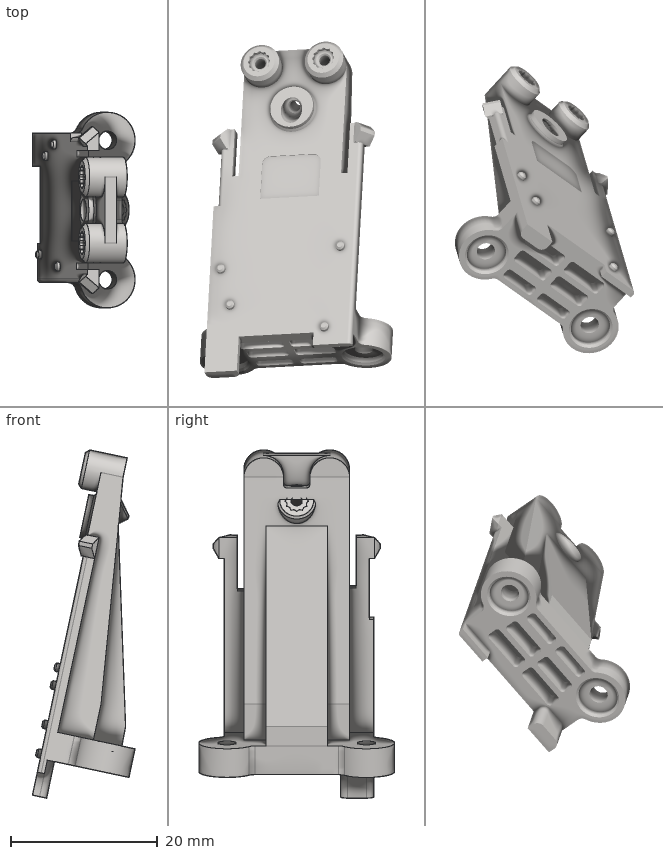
import cadquery as cq
import math

TILT = 12.0
PIVOT = (2.0, 0.0, 19.14)

PLATE_T = 1.6
PLATE_HALF_W = 9.9
EDGE_FILLET = 0.55
TAB_Y = 10.5
TAB_TOP = 19.75
NOTCH_LOW_Y = -4.55
NOTCH_HIGH_Y = 5.95
SHORT_FOOT_T = 1.0
SHORT_FOOT_BOTTOM = -1.88
LONG_FOOT_T = 2.0
LONG_FOOT_BOTTOM = -5.1
LONG_FOOT_FILLET = 1.0

BODY_HALF_W = 7.2
SLIT_W = 0.9
ARM_INNER_Y = BODY_HALF_W + SLIT_W
LOW_Y_SLIT_BOTTOM = 23.7
HIGH_Y_SLIT_BOTTOM = 24.1

HOOK_BOTTOM = 28.2
HOOK_TOP = 31.15
HOOK_TIP_BOTTOM = 29.5
HOOK_TIP_TOP = 30.1
HOOK_CORNER_Y = 10.6
HOOK_ANGLE = 40.0
HOOK_LENGTH = 2.45
HOOK_REACH = 1.05
HOOK_ROOT_DEPTH = 0.5

LUG_Y = 4.5
LUG_R = BODY_HALF_W - LUG_Y
LUG_Z = 39.87
LUG_FRONT = -2.65
LUG_BACK = 3.1
LUG_CHAMFER = 0.5
TOP_Z = LUG_Z + LUG_R
GAP_HALF_W = LUG_Y - LUG_R
GAP_FLOOR = 38.4
GAP_FILLET = 0.5

BASE_H = 4.0
SIDE_KNEE = (6.57, 9.0)
RIDGE_HALF_W = 4.2
RIDGE_TOP = (3.85, 33.2)
RIDGE_KNEE = (10.5, 6.7)
BASE_BACK = 10.55

EAR_X = 8.55
EAR_Y = 9.5
EAR_R = 3.84
EAR_HOLE_D = 2.5
EAR_BORE_R = 2.7
EAR_BORE_DEPTH = 1.0
EAR_BORE_CHAMFER = 0.3
EAR_BLEND_R = 1.0

SLOTS = [(2.2, 4.2, 6.65), (5.0, 7.0, 6.15), (8.3, 9.8, 5.65)]
SLOT_WEB_HALF = 0.5
SLOT_FILLET = 0.5
SLOT_DEPTH = 3.0

PAD_Z = 33.6
PAD_T = 1.0
PAD_R = 3.0
PAD_FOOT_R = 3.3
PAD_FOOT_T = 0.3
PASSAGE_Z = 33.1
PASSAGE_ANGLE = 38.0
PASSAGE_D = 3.0
BOSS_R = 2.6
BOSS_ROOT = 2.5
BOSS_END = 5.8
BOSS_CHAMFER = 0.3

INSERT_L = 3.8
INSERT_TIP_R = 1.58
INSERT_ROOT_R = 1.38
INSERT_TEETH = 12
INSERT_BORE_D = 1.5
INSERT_CHAMFER = 0.2
INSERT_RECESS = 0.6

STUDS = [(-7.71, 12.64), (8.95, 10.17), (7.36, 4.69), (-6.07, 0.67)]
STUD_R = 0.6
STUD_H = 0.7
STUD_CHAMFER = 0.25

RECESS_Y = (-4.24, 3.98)
RECESS_Z = (20.5, 26.8)
RECESS_CORNER_R = 1.1
RECESS_DEPTH = 0.1


def block(x, y, z):
    """Box between pairs of limits."""
    size = (x[1] - x[0], y[1] - y[0], z[1] - z[0])
    return cq.Workplane("XY").box(*size, centered=False).translate((x[0], y[0], z[0]))


def side_prism(points, half_width):
    """Side profile of (depth, height) points, extruded evenly to both sides."""
    return cq.Workplane("XZ").polyline(points).close().extrude(half_width, both=True)


def rod(x_start, x_end, radius, y, z):
    """Cylinder running straight back through the plate."""
    return cq.Workplane("YZ", origin=(x_start, 0, 0)).center(y, z).circle(radius).extrude(x_end - x_start)


def plate():
    """Plate with its two feet, side tab, clip-arm slits and the strip joining the lugs."""
    lower = block((0, PLATE_T), (-PLATE_HALF_W, PLATE_HALF_W), (0, HOOK_BOTTOM))
    short_foot = block((0, SHORT_FOOT_T), (-PLATE_HALF_W, NOTCH_LOW_Y), (SHORT_FOOT_BOTTOM, 0))
    wide = lower.union(short_foot).edges("|Z and <X").edges("<Y or >Y").fillet(EDGE_FILLET)
    upper = block((0, PLATE_T), (-BODY_HALF_W, BODY_HALF_W), (0, LUG_Z))
    bridge = block((0, PLATE_T), (-LUG_Y, LUG_Y), (0, TOP_Z))
    tab = block((0, PLATE_T), (NOTCH_HIGH_Y, TAB_Y), (0, TAB_TOP))
    long_foot = block((0, LONG_FOOT_T), (NOTCH_HIGH_Y, TAB_Y), (LONG_FOOT_BOTTOM, 0))
    long_foot = long_foot.edges("|Z and >X").fillet(LONG_FOOT_FILLET)
    low_slit = block((0, PLATE_T), (-ARM_INNER_Y, -BODY_HALF_W), (LOW_Y_SLIT_BOTTOM, HOOK_TOP))
    high_slit = block((0, PLATE_T), (BODY_HALF_W, ARM_INNER_Y), (HIGH_Y_SLIT_BOTTOM, HOOK_TOP))
    whole = wide.union(upper).union(bridge).union(tab).union(long_foot)
    return whole.cut(low_slit).cut(high_slit)


def hook():
    """Arm end and outward barb on the -Y side."""
    angle = math.radians(HOOK_ANGLE)
    toward_front = (-math.cos(angle), math.sin(angle), 0)
    outward = (-math.sin(angle), -math.cos(angle), 0)
    root_at_face_y = -HOOK_CORNER_Y + PLATE_T * math.tan(angle)
    arm_outline = [
        (0, -ARM_INNER_Y),
        (PLATE_T, -ARM_INNER_Y),
        (PLATE_T, -HOOK_CORNER_Y),
        (0, root_at_face_y),
    ]
    arm_end = (
        cq.Workplane("XY", origin=(0, 0, HOOK_BOTTOM))
        .polyline(arm_outline)
        .close()
        .extrude(HOOK_TOP - HOOK_BOTTOM)
    )
    barb_profile = [
        (-HOOK_ROOT_DEPTH, HOOK_BOTTOM),
        (0, HOOK_BOTTOM),
        (HOOK_REACH, HOOK_TIP_BOTTOM),
        (HOOK_REACH, HOOK_TIP_TOP),
        (0, HOOK_TOP),
        (-HOOK_ROOT_DEPTH, HOOK_TOP),
    ]
    barb_plane = cq.Plane(origin=(PLATE_T, -HOOK_CORNER_Y, 0), xDir=outward, normal=toward_front)
    barb = cq.Workplane(barb_plane).polyline(barb_profile).close().extrude(HOOK_LENGTH)
    behind_plate = block((PLATE_T, 2 * PLATE_T), (-2 * TAB_Y, 0), (0, TOP_Z))
    return arm_end.union(barb).cut(behind_plate)


def lug(y):
    return rod(LUG_FRONT, LUG_BACK, LUG_R, y, LUG_Z).faces("<X").chamfer(LUG_CHAMFER)


def wedge():
    """Tapered body with a narrower, steeper ridge down its back and a gap between the lugs."""
    side = side_prism(
        [(0, 0), (SIDE_KNEE[0], 0), SIDE_KNEE, (LUG_BACK, LUG_Z), (0, LUG_Z)],
        BODY_HALF_W,
    )
    ridge = side_prism(
        [(0, 0), (BASE_BACK, 0), (BASE_BACK, BASE_H), RIDGE_KNEE, RIDGE_TOP, (0, RIDGE_TOP[1])],
        RIDGE_HALF_W,
    )
    gap = block((PLATE_T, 2 * LUG_BACK), (-GAP_HALF_W, GAP_HALF_W), (GAP_FLOOR, 2 * TOP_Z))
    gap = gap.edges("|X and <Z").fillet(GAP_FILLET)
    return side.cut(gap).union(ridge)


def ear_hole():
    """Screw hole with a shallow chamfered bore on the underside."""
    center = cq.Workplane("XY").center(EAR_X, EAR_Y)
    hole = center.circle(EAR_HOLE_D / 2).extrude(BASE_H)
    bore = center.circle(EAR_BORE_R).extrude(EAR_BORE_DEPTH)
    mouth = center.circle(EAR_BORE_R + EAR_BORE_CHAMFER)
    mouth = mouth.workplane(offset=EAR_BORE_CHAMFER).circle(EAR_BORE_R).loft()
    return hole.union(bore).union(mouth)


def base_half(front_y):
    """Half of the base on the +Y side with its screw ear; front_y is the outer edge at the plate.

    The outline starts just behind the plate's rounded front edge.
    """
    reach = EAR_R + EAR_BLEND_R

    def meet(center):
        """Point where a blend arc centred there touches the ear."""
        return tuple(e + (c - e) * EAR_R / reach for c, e in zip(center, (EAR_X, EAR_Y)))

    def middle(center, start, end):
        """Middle of the short blend arc."""
        mx = (start[0] + end[0]) / 2 - center[0]
        my = (start[1] + end[1]) / 2 - center[1]
        scale = EAR_BLEND_R / math.hypot(mx, my)
        return (center[0] + mx * scale, center[1] + my * scale)

    front_center_y = front_y + EAR_BLEND_R
    front_center = (EAR_X - math.sqrt(reach**2 - (front_center_y - EAR_Y) ** 2), front_center_y)
    front_start = (front_center[0], front_y)
    front_end = meet(front_center)
    back_center_x = BASE_BACK + EAR_BLEND_R
    back_center = (back_center_x, EAR_Y - math.sqrt(reach**2 - (back_center_x - EAR_X) ** 2))
    back_start = meet(back_center)
    back_end = (BASE_BACK, back_center[1])
    ear_tip = (EAR_X + EAR_R * math.sqrt(0.5), EAR_Y + EAR_R * math.sqrt(0.5))
    solid = (
        cq.Workplane("XY")
        .moveTo(EDGE_FILLET, 0)
        .lineTo(EDGE_FILLET, front_y)
        .lineTo(*front_start)
        .threePointArc(middle(front_center, front_start, front_end), front_end)
        .threePointArc(ear_tip, back_start)
        .threePointArc(middle(back_center, back_start, back_end), back_end)
        .lineTo(BASE_BACK, 0)
        .close()
        .extrude(BASE_H)
    )
    return solid.cut(ear_hole())


def base_slots():
    slots = cq.Workplane("XY")
    for front, back, end_y in SLOTS:
        slot = block((front, back), (SLOT_WEB_HALF, end_y), (0, SLOT_DEPTH)).edges("|Z").fillet(SLOT_FILLET)
        slots = slots.union(slot).union(slot.mirror("XZ"))
    return slots


def stud(y, z):
    return rod(-STUD_H, 0, STUD_R, y, z).faces("<X").chamfer(STUD_CHAMFER)


def pad():
    front = rod(-PAD_T, 0, PAD_R, 0, PAD_Z)
    flare = cq.Workplane("YZ").center(0, PAD_Z).circle(PAD_FOOT_R)
    flare = flare.workplane(offset=-PAD_FOOT_T).circle(PAD_R).loft()
    return front.union(flare)


def recess():
    outline = block((0, RECESS_DEPTH), RECESS_Y, RECESS_Z)
    return outline.edges("|X and >Z").fillet(RECESS_CORNER_R)


def passage_plane(distance):
    """Plane square to the inclined passage, this far along it from the pad face."""
    angle = math.radians(PASSAGE_ANGLE)
    axis = (math.cos(angle), 0, math.sin(angle))
    origin = (-PAD_T + distance * axis[0], 0, PASSAGE_Z + distance * axis[2])
    return cq.Plane(origin=origin, xDir=(0, 1, 0), normal=axis)


def boss():
    """Inclined boss around the rear insert, kept behind the plate face."""
    length = BOSS_END - BOSS_ROOT
    round_boss = cq.Workplane(passage_plane(BOSS_ROOT)).circle(BOSS_R).extrude(length)
    round_boss = round_boss.faces(">(1, 0, 1)").chamfer(BOSS_CHAMFER)
    return round_boss.cut(block((-2 * BOSS_R, 0), (-BOSS_R, BOSS_R), (0, TOP_Z)))


def lug_plane(y):
    """Plane of an insert's front end, set back inside its lug."""
    return cq.Plane(origin=(LUG_FRONT + INSERT_RECESS, y, LUG_Z), xDir=(0, 1, 0), normal=(1, 0, 0))


def knurled_bar(plane, lead=0.0):
    """Solid outer shape of an insert from the plane to its far end, extended in front of it by lead."""
    half_pitch = math.pi / INSERT_TEETH
    points = []
    for step in range(2 * INSERT_TEETH):
        radius = INSERT_ROOT_R if step % 2 else INSERT_TIP_R
        points.append((radius * math.cos(step * half_pitch), radius * math.sin(step * half_pitch)))
    return cq.Workplane(plane).workplane(offset=-lead).polyline(points).close().extrude(lead + INSERT_L)


def insert(plane):
    bore = cq.Workplane(plane).circle(INSERT_BORE_D / 2).extrude(INSERT_L)
    mouth = cq.Workplane(plane).circle(INSERT_BORE_D / 2 + INSERT_CHAMFER)
    mouth = mouth.workplane(offset=INSERT_CHAMFER).circle(INSERT_BORE_D / 2).loft()
    return knurled_bar(plane).cut(bore).cut(mouth)


def housing(insert_planes):
    body = plate().union(wedge())
    body = body.union(base_half(TAB_Y)).union(base_half(PLATE_HALF_W).mirror("XZ"))
    body = body.union(hook()).union(hook().mirror("XZ")).union(pad())
    for y in (-LUG_Y, LUG_Y):
        body = body.union(lug(y))
    for y, z in STUDS:
        body = body.union(stud(y, z))
    passage = cq.Workplane(passage_plane(-PASSAGE_D)).circle(PASSAGE_D / 2)
    passage = passage.extrude(PASSAGE_D + BOSS_END - INSERT_L)
    body = body.union(boss()).cut(passage).cut(base_slots()).cut(recess())
    for plane in insert_planes:
        body = body.cut(knurled_bar(plane, INSERT_RECESS))
    return body


def tilt(body):
    centred = body.translate(tuple(-p for p in PIVOT))
    return centred.rotate((0, 0, 0), (0, 1, 0), TILT)


planes = [lug_plane(-LUG_Y), lug_plane(LUG_Y), passage_plane(BOSS_END - INSERT_L)]
bodies = [tilt(housing(planes))]
for plane in planes:
    bodies.append(tilt(insert(plane)))

result = cq.Compound.makeCompound([body.val() for body in bodies])